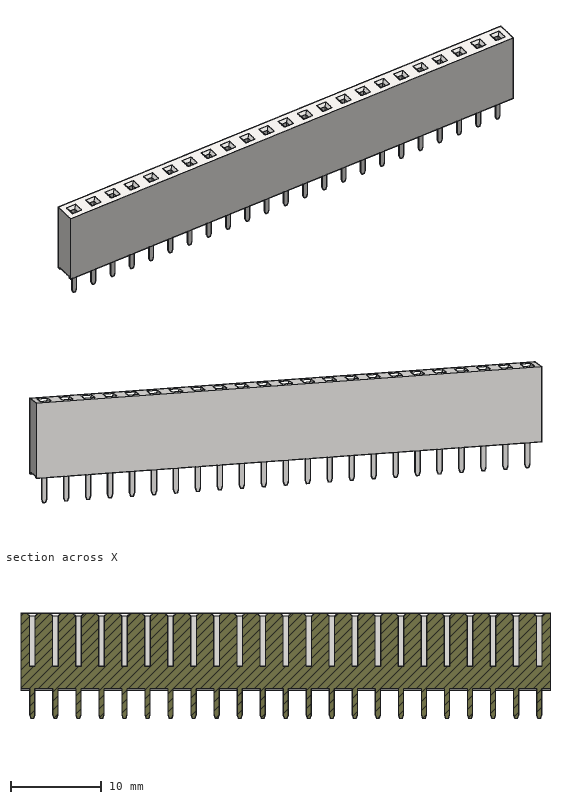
import cadquery as cq

contact_count = 23
body_length = 58.4
body_width = 2.5
body_height = 8.55
pitch = body_length / contact_count

channel_width = 1.75
channel_depth = 0.2

mouth_size = 1.2
socket_size = 0.6
funnel_depth = (mouth_size - socket_size) / 2
socket_depth = 5.85

pin_reach = 3.1
pin_width = 0.6
pin_thickness = 0.205
tip_width = pin_width / 2
tip_height = 0.4

body_top = (body_height + pin_reach) / 2
body_bottom = body_top - body_height
channel_roof = body_bottom + channel_depth
pin_bottom = body_bottom - pin_reach

first_contact_y = -(contact_count - 1) / 2 * pitch
contact_points = [(0, first_contact_y + index * pitch) for index in range(contact_count)]


def make_body():
    """Rectangular housing with a full-length channel underneath."""
    base = cq.Workplane("XY").workplane(offset=body_bottom)
    block = base.rect(body_width, body_length).extrude(body_height)
    channel = base.rect(channel_width, body_length).extrude(channel_depth)
    return block.cut(channel)


def make_socket():
    """Blind square hole with a funnel-shaped mouth, used as a cutter."""
    top = cq.Workplane("XY").workplane(offset=body_top)
    hole = top.rect(socket_size, socket_size).extrude(-socket_depth)
    funnel = (
        top.rect(mouth_size, mouth_size)
        .workplane(offset=-funnel_depth)
        .rect(socket_size, socket_size)
        .loft(ruled=True)
    )
    return funnel.union(hole)


def make_pin():
    """Flat pin hanging from the channel roof, tapered in width at its tip."""
    tip_start = pin_bottom + tip_height
    outline = [
        (-pin_width / 2, channel_roof),
        (-pin_width / 2, tip_start),
        (-tip_width / 2, pin_bottom),
        (tip_width / 2, pin_bottom),
        (pin_width / 2, tip_start),
        (pin_width / 2, channel_roof),
    ]
    return cq.Workplane("YZ").polyline(outline).close().extrude(pin_thickness / 2, both=True)


def repeat_along_row(shape):
    """Copies of a shape at every contact position."""
    solid = shape.val()
    return cq.Workplane("XY").pushPoints(contact_points).eachpoint(lambda place: solid.moved(place))


sockets = repeat_along_row(make_socket())
pins = repeat_along_row(make_pin())
result = make_body().cut(sockets).union(pins)